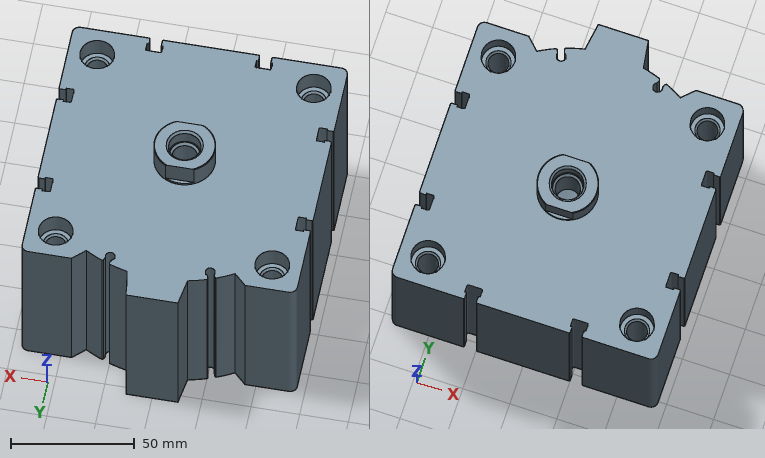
import cadquery as cq
import math

body_width = 113.0
body_length = 126.7
total_height = 79.0
rod_stickout = 10.0
body_height = total_height - rod_stickout
half_width = body_width / 2
crown_top_y = body_length - half_width
corner_radius = 3.0

crown_radius = 59.9
crown_top_half = 10.6
crown_base_half = 12.4
notch_outer_x = 35.6
notch_bottom_x = 30.5

groove_angle = 21.3
groove_center_radius = 56.5
groove_bulb_diameter = 3.9
groove_throat_width = 2.8
groove_mouth_chamfer = 0.5

slot_spacing = 45.0
slot_offset = slot_spacing / 2
slot_mouth_width = 5.1
slot_mouth_depth = 2.9
slot_mouth_chamfer = 0.4
slot_head_width = 6.6
slot_head_fillet = 0.6
slot_depth = 6.2

hole_offset = 44.5
counterbore_diameter = 14.0
counterbore_depth = 8.9
mount_thread_diameter = 10.1
mount_hole_diameter = 8.4

rod_diameter = 25.0
rod_flats_width = 22.0
rod_collar_height = 1.0
rod_top_chamfer = 0.3
rod_depth = 38.0
socket_mouth_diameter = 15.0
socket_diameter = 13.0
socket_depth = 6.3
thread_mouth_diameter = 12.2
thread_diameter = 10.1
thread_depth = 25.3
drill_tip_angle = 118.0


def arc_y(x):
    """Height of the crown arc at a given x."""
    return math.sqrt(crown_radius**2 - x**2)


def housing_blank():
    """Square block with rounded corners, opened on the +Y side and refilled with the crown."""
    block = cq.Workplane("XY").rect(body_width, body_width).extrude(body_height)
    block = block.edges("|Z").fillet(corner_radius)
    notch_bottom_y = arc_y(notch_bottom_x)
    notches = (
        cq.Workplane("XY")
        .moveTo(-notch_outer_x, half_width)
        .lineTo(-notch_bottom_x, notch_bottom_y)
        .lineTo(notch_bottom_x, notch_bottom_y)
        .lineTo(notch_outer_x, half_width)
        .close()
        .extrude(body_height)
    )
    crown_base_y = arc_y(crown_base_half)
    arc_mid_x = (crown_base_half + notch_bottom_x) / 2
    crown = (
        cq.Workplane("XY")
        .moveTo(-notch_bottom_x, notch_bottom_y)
        .threePointArc((-arc_mid_x, arc_y(arc_mid_x)), (-crown_base_half, crown_base_y))
        .lineTo(-crown_top_half, crown_top_y)
        .lineTo(crown_top_half, crown_top_y)
        .lineTo(crown_base_half, crown_base_y)
        .threePointArc((arc_mid_x, arc_y(arc_mid_x)), (notch_bottom_x, notch_bottom_y))
        .close()
        .extrude(body_height)
    )
    return block.cut(notches).union(crown)


def sensor_groove(angle):
    """Keyhole groove along Z, turned about the rod axis from the +Y direction."""
    bulb = (
        cq.Workplane("XY")
        .center(0, groove_center_radius)
        .circle(groove_bulb_diameter / 2)
        .extrude(body_height)
    )
    throat_half = groove_throat_width / 2
    lip_half = throat_half + groove_mouth_chamfer
    throat = (
        cq.Workplane("XY")
        .moveTo(-throat_half, groove_center_radius)
        .lineTo(-throat_half, crown_radius - groove_mouth_chamfer)
        .lineTo(-lip_half, crown_radius)
        .lineTo(lip_half, crown_radius)
        .lineTo(throat_half, crown_radius - groove_mouth_chamfer)
        .lineTo(throat_half, groove_center_radius)
        .close()
        .extrude(body_height)
    )
    return bulb.union(throat).rotate((0, 0, 0), (0, 0, 1), angle)


def t_slot(offset, angle):
    """T slot along Z in the -Y side, turned about the rod axis onto another side."""
    mouth_half = slot_mouth_width / 2
    lip_half = mouth_half + slot_mouth_chamfer
    mouth = (
        cq.Workplane("XY")
        .moveTo(offset - lip_half, -half_width)
        .lineTo(offset + lip_half, -half_width)
        .lineTo(offset + mouth_half, -half_width + slot_mouth_chamfer)
        .lineTo(offset + mouth_half, -half_width + slot_mouth_depth)
        .lineTo(offset - mouth_half, -half_width + slot_mouth_depth)
        .lineTo(offset - mouth_half, -half_width + slot_mouth_chamfer)
        .close()
        .extrude(body_height)
    )
    head = (
        cq.Workplane("XY")
        .center(offset, (slot_mouth_depth + slot_depth) / 2 - half_width)
        .rect(slot_head_width, slot_depth - slot_mouth_depth)
        .extrude(body_height)
        .edges("|Z and >Y")
        .fillet(slot_head_fillet)
    )
    return mouth.union(head).rotate((0, 0, 0), (0, 0, 1), angle)


def mounting_hole_cutter():
    """Through hole with a conical lead-in below a flat counterbore."""
    lead_in = (mount_thread_diameter - mount_hole_diameter) / 2
    floor_z = body_height - counterbore_depth
    return (
        cq.Workplane("XZ")
        .moveTo(0, 0)
        .lineTo(mount_hole_diameter / 2, 0)
        .lineTo(mount_hole_diameter / 2, floor_z - lead_in)
        .lineTo(mount_thread_diameter / 2, floor_z)
        .lineTo(counterbore_diameter / 2, floor_z)
        .lineTo(counterbore_diameter / 2, body_height)
        .lineTo(0, body_height)
        .close()
        .revolve(axisStart=(0, 0), axisEnd=(0, 1))
    )


def make_housing():
    body = housing_blank()
    for angle in (-groove_angle, groove_angle):
        body = body.cut(sensor_groove(angle))
    for angle in (-90, 0, 90):
        for offset in (-slot_offset, slot_offset):
            body = body.cut(t_slot(offset, angle))
    hole = mounting_hole_cutter()
    for x in (-hole_offset, hole_offset):
        for y in (-hole_offset, hole_offset):
            body = body.cut(hole.translate((x, y, 0)))
    recess = (
        cq.Workplane("XY").workplane(offset=body_height - rod_depth)
        .circle(rod_diameter / 2).extrude(rod_depth)
    )
    return body.cut(recess)


def rod_socket_cutter():
    """Stepped blind hole for a thread: lead-in, wide socket, thread bore and drill tip."""
    mouth_lead = (socket_mouth_diameter - socket_diameter) / 2
    thread_lead = (thread_mouth_diameter - thread_diameter) / 2
    socket_z = total_height - socket_depth
    thread_z = total_height - thread_depth
    tip_length = thread_diameter / 2 / math.tan(math.radians(drill_tip_angle / 2))
    return (
        cq.Workplane("XZ")
        .moveTo(0, total_height)
        .lineTo(socket_mouth_diameter / 2, total_height)
        .lineTo(socket_diameter / 2, total_height - mouth_lead)
        .lineTo(socket_diameter / 2, socket_z)
        .lineTo(thread_mouth_diameter / 2, socket_z)
        .lineTo(thread_diameter / 2, socket_z - thread_lead)
        .lineTo(thread_diameter / 2, thread_z)
        .lineTo(0, thread_z - tip_length)
        .close()
        .revolve(axisStart=(0, 0), axisEnd=(0, 1))
    )


def make_rod():
    """Round rod with two wrench flats above a full-round collar."""
    rod = (
        cq.Workplane("XY").workplane(offset=body_height - rod_depth)
        .circle(rod_diameter / 2).extrude(rod_depth + rod_stickout)
    )
    rod = rod.faces(">Z").chamfer(rod_top_chamfer)
    flat_height = rod_stickout - rod_collar_height
    for side in (-1, 1):
        flat = (
            cq.Workplane("XY").workplane(offset=body_height + rod_collar_height)
            .center(0, side * (rod_flats_width + rod_diameter) / 2)
            .rect(rod_diameter, rod_diameter).extrude(flat_height)
        )
        rod = rod.cut(flat)
    return rod.cut(rod_socket_cutter())


housing = make_housing()
piston_rod = make_rod()

result = cq.Compound.makeCompound([housing.val(), piston_rod.val()])